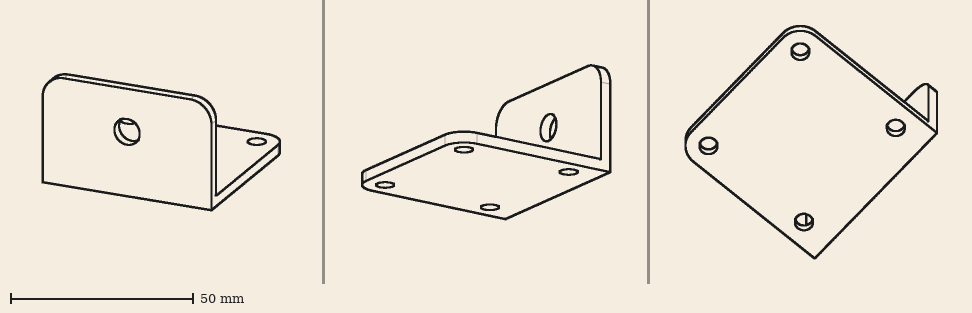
import cadquery as cq

width = 50.8
depth = 50.8
height = 31.75
thickness = height / 10

corner_radius = 6.35
base_hole_diameter = 5.0

wall_hole_diameter = 7.6
wall_hole_height = height - 2 * corner_radius


def make_base():
    """Flat plate with rounded rear corners and four mounting holes."""
    plate = cq.Workplane("XY").box(width, depth, thickness, centered=(True, False, False))
    plate = plate.edges("|Z and >Y").fillet(corner_radius)
    hole_x = width / 2 - corner_radius
    front_hole_y = thickness + corner_radius
    rear_hole_y = depth - corner_radius
    centers = [(x, y) for x in (-hole_x, hole_x) for y in (front_hole_y, rear_hole_y)]
    holes = cq.Workplane("XY").pushPoints(centers).circle(base_hole_diameter / 2).extrude(thickness)
    return plate.cut(holes)


def make_wall():
    """Upright front wall with rounded top corners and one central hole."""
    wall = cq.Workplane("XY").box(width, thickness, height, centered=(True, False, False))
    wall = wall.edges("|Y and >Z").fillet(corner_radius)
    hole = (
        cq.Workplane("XZ")
        .center(0, wall_hole_height)
        .circle(wall_hole_diameter / 2)
        .extrude(-thickness)
    )
    return wall.cut(hole)


result = make_base().union(make_wall())